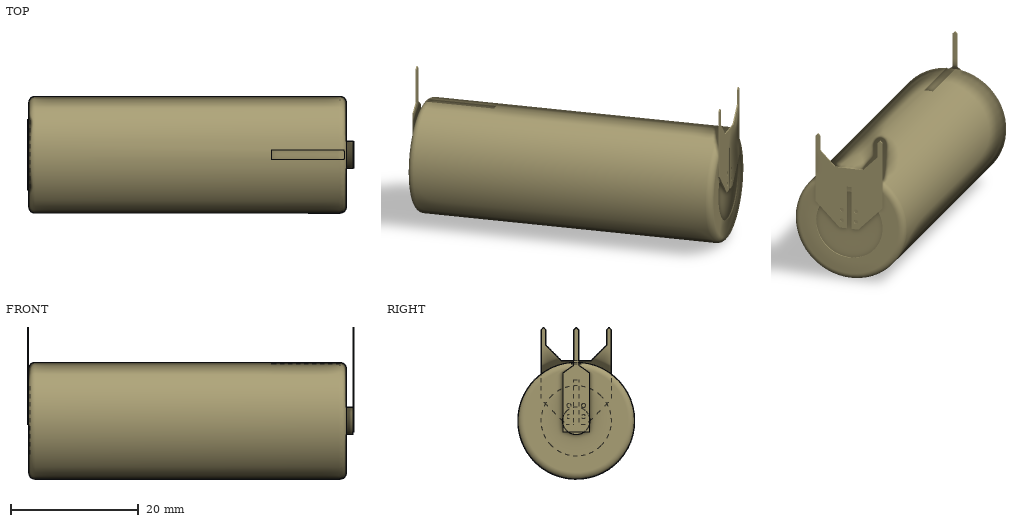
import cadquery as cq

cell_diameter = 18.3
cell_length = 49.7
cell_edge_radius = 1.0
button_diameter = 4.3
button_height = 1.0
recess_diameter = 11.0
recess_depth = 0.2
groove_width = 1.45
groove_depth = 0.28
groove_length = 11.7

tab_thickness = 0.2
overall_height = 23.78
pin_tip_z = overall_height - cell_diameter / 2
pin_tip_height = 0.4
pin_side_top_z = pin_tip_z - pin_tip_height

negative_tab_width = 11.0
negative_pin_width = 0.75
negative_pin_root_z = 11.85
crotch_z = 9.4
lower_shoulder_z = 3.35
negative_tab_bottom_z = -0.6
slit_width = 0.8
slit_top_z = 6.35
weld_dimple_diameter = 0.65
weld_dimple_depth = tab_thickness / 2
weld_dimple_y = 1.15
weld_dimple_heights = (0.65, 2.4)

positive_tab_width = 4.1
positive_pin_width = 0.8
positive_pin_root_z = 8.7
positive_shoulder_z = 7.5
positive_tab_bottom_z = -1.75


def make_cell():
    """Can with rounded rims, positive button, shallow negative recess and top groove."""
    can = cq.Workplane("YZ").circle(cell_diameter / 2).extrude(cell_length)
    can = can.edges("%CIRCLE").fillet(cell_edge_radius)

    button = (
        cq.Workplane("YZ", origin=(cell_length, 0, 0))
        .circle(button_diameter / 2)
        .extrude(button_height)
    )
    recess = cq.Workplane("YZ").circle(recess_diameter / 2).extrude(recess_depth)

    groove = cq.Workplane("XY").box(
        groove_length, groove_width, groove_depth, centered=(False, True, False)
    )
    groove = groove.translate((cell_length - groove_length, 0, cell_diameter / 2 - groove_depth))
    return can.union(button).cut(recess).cut(groove)


def mirrored_outline(half_outline, apex=()):
    """Join a +Y half outline, any apex points on the mid-plane and the half's -Y mirror image."""
    mirrored_half = [(-y, z) for y, z in reversed(half_outline)]
    return [*half_outline, *apex, *mirrored_half]


def make_negative_tab():
    """Two-pin plate lying on the negative face, slit from below between its weld spots."""
    half_width = negative_tab_width / 2
    pin_inner_y = half_width - negative_pin_width
    crotch_y = pin_inner_y - (negative_pin_root_z - crotch_z)
    bottom_y = half_width - (lower_shoulder_z - negative_tab_bottom_z)

    half_outline = [
        (slit_width / 2, slit_top_z),
        (slit_width / 2, negative_tab_bottom_z),
        (bottom_y, negative_tab_bottom_z),
        (half_width, lower_shoulder_z),
        (half_width, pin_side_top_z),
        (half_width - negative_pin_width / 2, pin_tip_z),
        (pin_inner_y, pin_side_top_z),
        (pin_inner_y, negative_pin_root_z),
        (crotch_y, crotch_z),
    ]
    outline = mirrored_outline(half_outline)
    plate = cq.Workplane("YZ").polyline(outline).close().extrude(-tab_thickness)

    weld_centers = [(side * weld_dimple_y, z) for side in (-1, 1) for z in weld_dimple_heights]
    weld_dimples = (
        cq.Workplane("YZ", origin=(-tab_thickness, 0, 0))
        .pushPoints(weld_centers)
        .circle(weld_dimple_diameter / 2)
        .extrude(weld_dimple_depth)
    )
    return plate.cut(weld_dimples)


def make_positive_tab():
    """Single-pin plate lying on the end of the positive button."""
    half_width = positive_tab_width / 2
    half_pin = positive_pin_width / 2

    half_outline = [
        (half_width, positive_tab_bottom_z),
        (half_width, positive_shoulder_z),
        (half_pin, positive_pin_root_z),
        (half_pin, pin_side_top_z),
    ]
    outline = mirrored_outline(half_outline, apex=[(0, pin_tip_z)])
    button_face = cq.Workplane("YZ", origin=(cell_length + button_height, 0, 0))
    return button_face.polyline(outline).close().extrude(tab_thickness)


cell = make_cell()
negative_tab = make_negative_tab()
positive_tab = make_positive_tab()

result = cq.Compound.makeCompound([cell.val(), negative_tab.val(), positive_tab.val()])